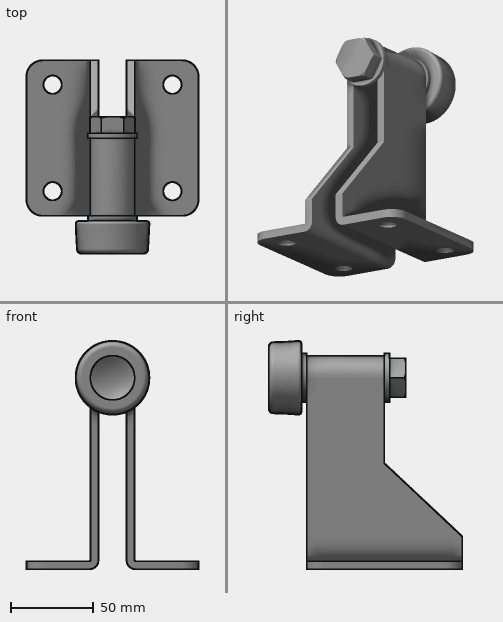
import cadquery as cq
import math

OVERALL_HEIGHT = 139.3

BUFFER_LENGTH = 20.0
BUFFER_RADIUS = 22.6
BUFFER_TAPER = math.radians(3)
FRONT_ROUNDING = 3.0
REAR_ROUNDING = 2.0
DISH_RADIUS = 13.5
DISH_DEPTH = 4.2

HEX_FLATS = 24.0
HEAD_LENGTH = 10.0
HEAD_CHAMFER = 0.8
CHAMFER_ANGLE = math.radians(60)
SHANK_RADIUS = 8.0
THREAD_ENGAGEMENT = 4.0
WASHER_RADIUS = 15.0
WASHER_THICKNESS = 3.0

BRACKET_WIDTH = 105.0
BRACKET_LENGTH = 94.9
SHEET = 5.0
FOLD_RADIUS = 13.5
INNER_BEND_RADIUS = 0.5
TOP_LENGTH = BRACKET_LENGTH / 2
REAR_LEG_HEIGHT = 20.0
SLOPE_TOP_HEIGHT = 64.6
FOOT_CORNER_RADIUS = 10.0
FOOT_HOLE_DIAMETER = 11.0
HOLE_SPACING_X = 73.0
HOLE_SPACING_Y = 64.9
HOLE_FRONT_OFFSET = 15.0

AXIS_HEIGHT = OVERALL_HEIGHT - BUFFER_RADIUS
FRONT_WASHER_Y = BUFFER_LENGTH
BRACKET_FRONT_Y = FRONT_WASHER_Y + WASHER_THICKNESS
BRACKET_REAR_Y = BRACKET_FRONT_Y + BRACKET_LENGTH
REAR_WASHER_Y = BRACKET_FRONT_Y + TOP_LENGTH
HEAD_Y = REAR_WASHER_Y + WASHER_THICKNESS
SHANK_START_Y = BUFFER_LENGTH - THREAD_ENGAGEMENT
BORE_RADIUS = FOLD_RADIUS - SHEET


def axis_plane(y):
    """Plane across the bolt axis at y, with its normal pointing toward -Y."""
    return cq.Workplane(cq.Plane((0, y, AXIS_HEIGHT), (1, 0, 0), (0, -1, 0)))


def folded_sheet():
    """Extrude the bent cross-section over the full bracket length."""
    inner = BORE_RADIUS
    outer_bend = SHEET + INNER_BEND_RADIUS
    half_width = BRACKET_WIDTH / 2
    bend_x = inner + outer_bend
    bend_offset = math.cos(math.pi / 4)
    outer_mid = (bend_x - outer_bend * bend_offset, outer_bend * (1 - bend_offset))
    inner_mid = (
        bend_x - INNER_BEND_RADIUS * bend_offset,
        outer_bend - INNER_BEND_RADIUS * bend_offset,
    )
    return (
        cq.Workplane("XZ", origin=(0, BRACKET_REAR_Y, 0))
        .moveTo(half_width, 0)
        .lineTo(half_width, SHEET)
        .lineTo(bend_x, SHEET)
        .threePointArc(inner_mid, (FOLD_RADIUS, outer_bend))
        .lineTo(FOLD_RADIUS, AXIS_HEIGHT)
        .threePointArc((0, AXIS_HEIGHT + FOLD_RADIUS), (-FOLD_RADIUS, AXIS_HEIGHT))
        .lineTo(-FOLD_RADIUS, outer_bend)
        .threePointArc((-inner_mid[0], inner_mid[1]), (-bend_x, SHEET))
        .lineTo(-half_width, SHEET)
        .lineTo(-half_width, 0)
        .lineTo(-bend_x, 0)
        .threePointArc((-outer_mid[0], outer_mid[1]), (-inner, outer_bend))
        .lineTo(-inner, AXIS_HEIGHT)
        .threePointArc((0, AXIS_HEIGHT + inner), (inner, AXIS_HEIGHT))
        .lineTo(inner, outer_bend)
        .threePointArc(outer_mid, (bend_x, 0))
        .close()
        .extrude(BRACKET_LENGTH)
    )


def side_outline():
    """Side outline of the bracket: full height in front, sloping down to the rear."""
    return (
        cq.Workplane("YZ")
        .moveTo(BRACKET_FRONT_Y, 0)
        .lineTo(BRACKET_REAR_Y, 0)
        .lineTo(BRACKET_REAR_Y, REAR_LEG_HEIGHT)
        .lineTo(REAR_WASHER_Y, SLOPE_TOP_HEIGHT)
        .lineTo(REAR_WASHER_Y, OVERALL_HEIGHT)
        .lineTo(BRACKET_FRONT_Y, OVERALL_HEIGHT)
        .close()
        .extrude(BRACKET_WIDTH / 2, both=True)
    )


def foot_outline():
    """Rounded rectangular plan of the bracket."""
    center_y = BRACKET_FRONT_Y + BRACKET_LENGTH / 2
    return (
        cq.Workplane("XY", origin=(0, center_y, 0))
        .rect(BRACKET_WIDTH, BRACKET_LENGTH)
        .extrude(OVERALL_HEIGHT)
        .edges("|Z")
        .fillet(FOOT_CORNER_RADIUS)
    )


def foot_holes():
    center_y = BRACKET_FRONT_Y + HOLE_FRONT_OFFSET + HOLE_SPACING_Y / 2
    return (
        cq.Workplane("XY", origin=(0, center_y, 0))
        .rect(HOLE_SPACING_X, HOLE_SPACING_Y, forConstruction=True)
        .vertices()
        .circle(FOOT_HOLE_DIAMETER / 2)
        .extrude(SHEET)
    )


def make_bracket():
    return folded_sheet().intersect(side_outline()).intersect(foot_outline()).cut(foot_holes())


def make_washer(y):
    return axis_plane(y).circle(WASHER_RADIUS).circle(BORE_RADIUS).extrude(-WASHER_THICKNESS)


def make_bolt():
    """Hexagon bolt whose shank runs through both washers into the buffer."""
    corner_radius = HEX_FLATS / 2 / math.cos(math.pi / 6)
    chamfer_drop = HEAD_CHAMFER * math.tan(CHAMFER_ANGLE)
    chamfered_head = (
        cq.Workplane("XY", origin=(0, 0, AXIS_HEIGHT))
        .moveTo(0, HEAD_Y)
        .lineTo(corner_radius, HEAD_Y)
        .lineTo(corner_radius, HEAD_Y + HEAD_LENGTH - HEAD_CHAMFER)
        .lineTo(corner_radius - chamfer_drop, HEAD_Y + HEAD_LENGTH)
        .lineTo(0, HEAD_Y + HEAD_LENGTH)
        .close()
        .revolve(360, (0, 0, 0), (0, 1, 0))
    )
    hexagon = axis_plane(HEAD_Y).polygon(6, 2 * corner_radius).extrude(-HEAD_LENGTH)
    shank = axis_plane(SHANK_START_Y).circle(SHANK_RADIUS).extrude(-(HEAD_Y - SHANK_START_Y))
    return hexagon.intersect(chamfered_head).union(shank)


def make_buffer():
    rim_loss = REAR_ROUNDING * (math.tan(BUFFER_TAPER) + 1 / math.cos(BUFFER_TAPER) - 1)
    rear_radius = BUFFER_RADIUS + rim_loss
    front_radius = rear_radius - BUFFER_LENGTH * math.tan(BUFFER_TAPER)
    body = (
        cq.Workplane("XY", origin=(0, 0, AXIS_HEIGHT))
        .lineTo(front_radius, 0)
        .lineTo(rear_radius, BUFFER_LENGTH)
        .lineTo(0, BUFFER_LENGTH)
        .close()
        .revolve(360, (0, 0, 0), (0, 1, 0))
        .faces("<Y").edges().fillet(FRONT_ROUNDING)
        .faces(">Y").edges().fillet(REAR_ROUNDING)
    )
    sphere_radius = (DISH_RADIUS**2 + DISH_DEPTH**2) / (2 * DISH_DEPTH)
    dish = cq.Workplane("XY", origin=(0, DISH_DEPTH - sphere_radius, AXIS_HEIGHT)).sphere(sphere_radius)
    bolt_hole = axis_plane(SHANK_START_Y).circle(SHANK_RADIUS).extrude(-THREAD_ENGAGEMENT)
    return body.cut(dish).cut(bolt_hole)


bracket = make_bracket()
washers = [make_washer(y) for y in (FRONT_WASHER_Y, REAR_WASHER_Y)]
bolt = make_bolt()
buffer = make_buffer()

result = cq.Compound.makeCompound(
    [bracket.val(), *[washer.val() for washer in washers], bolt.val(), buffer.val()]
)